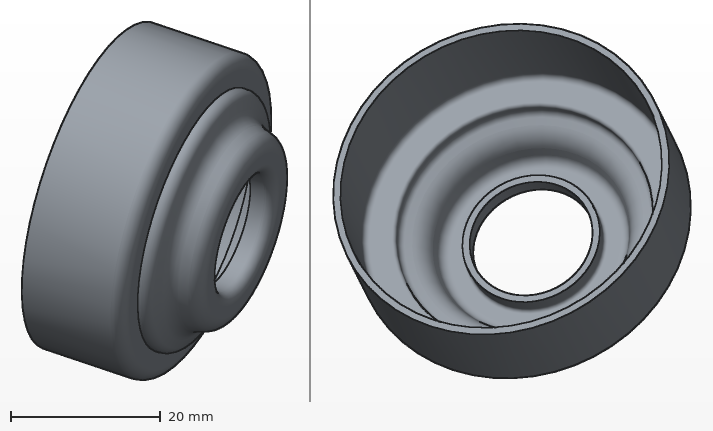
import cadquery as cq
import math

SHEET = 1.0
LENGTH = 22.1
RIM_RADIUS = 23.0
SHOULDER_X = 15.1
SHOULDER_BEND = 1.85
STEP_RADIUS = 18.55
STEP_WALL_END_X = 15.55
STEP_INNER_ROUND = 0.5
STEP_BEND = 1.5
STEP_INNER_BEND = 1.0
STEEP_ANGLE = 72.0
STEEP_LENGTH = 1.45
NECK_BEND = 2.6
SHALLOW_ANGLE = 18.0
NOSE_BEND = 2.45
BORE_RADIUS = 8.4
COLLAR_INNER_BEND = 0.5
COLLAR_END_X = 18.5


def shifted(point, distance, angle):
    """Move a point along the outward normal of a surface sloping down at the given angle."""
    a = math.radians(angle)
    return (point[0] + distance * math.sin(a), point[1] + distance * math.cos(a))


def along(point, length, angle):
    """Move a point down a slope of the given angle."""
    a = math.radians(angle)
    return (point[0] + length * math.cos(a), point[1] - length * math.sin(a))


def arc(path, center, radius, start_angle, end_angle):
    """Run a line to the start of an arc, then the arc; angles are those of the outward normal."""
    start = shifted(center, radius, start_angle)
    middle = shifted(center, radius, (start_angle + end_angle) / 2)
    end = shifted(center, radius, end_angle)
    return path.lineTo(*start).threePointArc(middle, end)


rim_center = (SHOULDER_X - SHOULDER_BEND, RIM_RADIUS - SHOULDER_BEND)
step_center = (STEP_WALL_END_X, STEP_RADIUS - STEP_BEND)
extra_bend = STEP_INNER_BEND - (STEP_BEND - SHEET)
step_inner_center = (
    step_center[0] - extra_bend * math.tan(math.radians(STEEP_ANGLE / 2)),
    step_center[1] - extra_bend,
)
steep_start = shifted(step_center, STEP_BEND, STEEP_ANGLE)
steep_end = along(steep_start, STEEP_LENGTH, STEEP_ANGLE)
neck_center = shifted(steep_end, NECK_BEND, STEEP_ANGLE)
shallow_start = shifted(neck_center, -NECK_BEND, SHALLOW_ANGLE)
nose_center_x = LENGTH - NOSE_BEND
shallow_end_x = nose_center_x + NOSE_BEND * math.sin(math.radians(SHALLOW_ANGLE))
shallow_length = (shallow_end_x - shallow_start[0]) / math.cos(math.radians(SHALLOW_ANGLE))
shallow_end = along(shallow_start, shallow_length, SHALLOW_ANGLE)
nose_center = shifted(shallow_end, -NOSE_BEND, SHALLOW_ANGLE)
collar_bend = COLLAR_INNER_BEND + SHEET
collar_center = (LENGTH - collar_bend, BORE_RADIUS + collar_bend)
step_round_center = (SHOULDER_X - SHEET + STEP_INNER_ROUND, STEP_RADIUS - SHEET + STEP_INNER_ROUND)


def sheet_section():
    """Closed half section of the sheet."""
    path = cq.Workplane("XZ").moveTo(0, RIM_RADIUS)
    path = arc(path, rim_center, SHOULDER_BEND, 0, 90)
    path = path.lineTo(SHOULDER_X, STEP_RADIUS)
    path = arc(path, step_center, STEP_BEND, 0, STEEP_ANGLE)
    path = arc(path, neck_center, -NECK_BEND, STEEP_ANGLE, SHALLOW_ANGLE)
    path = arc(path, nose_center, NOSE_BEND, SHALLOW_ANGLE, 90)
    path = arc(path, collar_center, collar_bend, 90, 180)
    path = path.lineTo(COLLAR_END_X, BORE_RADIUS)
    path = path.lineTo(COLLAR_END_X, BORE_RADIUS + SHEET)
    path = arc(path, collar_center, COLLAR_INNER_BEND, 180, 90)
    path = arc(path, nose_center, NOSE_BEND - SHEET, 90, SHALLOW_ANGLE)
    path = arc(path, neck_center, -(NECK_BEND + SHEET), SHALLOW_ANGLE, STEEP_ANGLE)
    path = arc(path, step_inner_center, STEP_INNER_BEND, STEEP_ANGLE, 0)
    path = arc(path, step_round_center, STEP_INNER_ROUND, 180, 270)
    path = arc(path, rim_center, SHOULDER_BEND - SHEET, 90, 0)
    return path.lineTo(0, RIM_RADIUS - SHEET).close()


result = sheet_section().revolve(360, (0, 0, 0), (1, 0, 0))